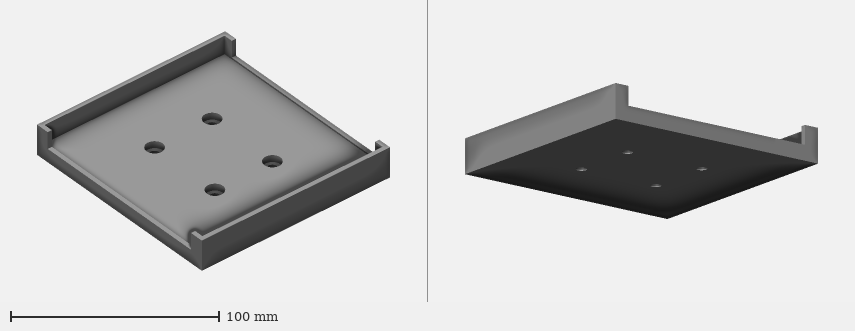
import cadquery as cq

length = 123.0
width = 118.0
height = 18.0
wall = 2.6
floor_thickness = 7.0

corner_return = 8.0
sill_height = 8.0

hole_diameter = 5.5
counterbore_diameter = 10.0
counterbore_depth = 4.0
hole_spacing_x = 45.0
hole_spacing_y = 36.0


def block(size_x, size_y, bottom, top):
    """Box centred on the Z axis between two heights."""
    box = cq.Workplane("XY").box(size_x, size_y, top - bottom, centered=(True, True, False))
    return box.translate((0, 0, bottom))


def make_tray():
    """Open tray whose front and back walls drop to a low sill between the corners."""
    outer = block(length, width, 0, height)
    cavity = block(length - 2 * wall, width - 2 * wall, floor_thickness, height)
    wall_opening = block(length - 2 * corner_return, width, sill_height, height)
    return outer.cut(cavity).cut(wall_opening)


def add_mounting_holes(tray):
    """Drill the four through holes, counterbored from the tray floor."""
    return (
        tray.copyWorkplane(cq.Workplane("XY", origin=(0, 0, floor_thickness)))
        .rarray(hole_spacing_x, hole_spacing_y, 2, 2)
        .cboreHole(hole_diameter, counterbore_diameter, counterbore_depth)
    )


result = add_mounting_holes(make_tray())